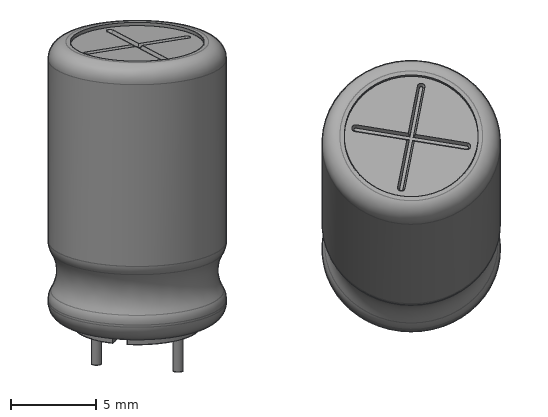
import cadquery as cq
import math

can_radius = 5.25
can_height = 17.0
rim_fillet = 1.05

lead_diameter = 0.6
lead_length = 2.5
lead_spacing = 5.0
pad_height = 0.5
pad_radius = 3.7
pad_gap = 0.88

groove_center_z = 5.98
groove_half_height = 1.8
groove_shoulder_height = 0.55
groove_depth = 0.5

recess_diameter = 7.88
recess_depth = 0.2
score_width = 0.45
score_floor_width = 0.2
score_length = 7.08
score_depth = 0.2
score_angles = (45, 135)

can_bottom_z = lead_length + pad_height
can_top_z = can_bottom_z + can_height
recess_floor_z = can_top_z - recess_depth


def groove_points():
    """Return the (r, z) points of the groove: three tangent arcs, from bottom to top."""
    turn_angle = 2 * math.atan(groove_depth / groove_half_height)
    shoulder_radius = groove_shoulder_height / math.sin(turn_angle)
    half_angle = turn_angle / 2
    shoulder_mid_r = can_radius - shoulder_radius * (1 - math.cos(half_angle))
    shoulder_mid_offset = groove_half_height - shoulder_radius * math.sin(half_angle)
    joint_r = can_radius - groove_shoulder_height * math.tan(half_angle)
    joint_offset = groove_half_height - groove_shoulder_height

    lower_half = [
        (can_radius, groove_center_z - groove_half_height),
        (shoulder_mid_r, groove_center_z - shoulder_mid_offset),
        (joint_r, groove_center_z - joint_offset),
    ]
    waist = (can_radius - groove_depth, groove_center_z)
    upper_half = [(r, 2 * groove_center_z - z) for r, z in reversed(lower_half)]
    return lower_half + [waist] + upper_half


def make_can():
    """Revolve the can outline, with rounded rims and the crimp groove."""
    start, low_mid, low_joint, waist, high_joint, high_mid, end = groove_points()
    flat_radius = can_radius - rim_fillet
    rim_mid_r = flat_radius + rim_fillet * math.sqrt(0.5)
    rim_mid_inset = rim_fillet * (1 - math.sqrt(0.5))
    return (
        cq.Workplane("XZ")
        .moveTo(0, can_bottom_z)
        .lineTo(flat_radius, can_bottom_z)
        .threePointArc(
            (rim_mid_r, can_bottom_z + rim_mid_inset),
            (can_radius, can_bottom_z + rim_fillet),
        )
        .lineTo(*start)
        .threePointArc(low_mid, low_joint)
        .threePointArc(waist, high_joint)
        .threePointArc(high_mid, end)
        .lineTo(can_radius, can_top_z - rim_fillet)
        .threePointArc((rim_mid_r, can_top_z - rim_mid_inset), (flat_radius, can_top_z))
        .lineTo(0, can_top_z)
        .close()
        .revolve(360, (0, 0, 0), (0, 1, 0))
    )


def make_recess():
    """Shallow round recess in the top of the can."""
    return cq.Workplane("XY").workplane(offset=recess_floor_z).circle(recess_diameter / 2).extrude(recess_depth)


def make_score(angle):
    """Round-ended score with sloping sides, cut down from the recess floor."""
    side_run = (score_width - score_floor_width) / 2
    side_taper = math.degrees(math.atan(side_run / score_depth))
    return (
        cq.Workplane("XY")
        .workplane(offset=recess_floor_z)
        .slot2D(score_length, score_width, angle)
        .extrude(-score_depth, taper=side_taper)
    )


def make_pads():
    """Round standoff below the can, split into two segments by a straight gap."""
    pad_plane = cq.Workplane("XY").workplane(offset=lead_length)
    disc = pad_plane.circle(pad_radius).extrude(pad_height)
    gap = pad_plane.rect(pad_gap, 2 * pad_radius).extrude(pad_height)
    return disc.cut(gap)


def make_housing():
    """Can with its recess, vent scores and standoff pads."""
    housing = make_can().cut(make_recess())
    for angle in score_angles:
        housing = housing.cut(make_score(angle))
    return housing.union(make_pads())


def make_lead(x):
    """Straight round lead that ends on the underside of a standoff pad."""
    return cq.Workplane("XY").center(x, 0).circle(lead_diameter / 2).extrude(lead_length)


housing = make_housing()
leads = [make_lead(side * lead_spacing / 2) for side in (-1, 1)]

result = cq.Compound.makeCompound([housing.val(), *[lead.val() for lead in leads]])